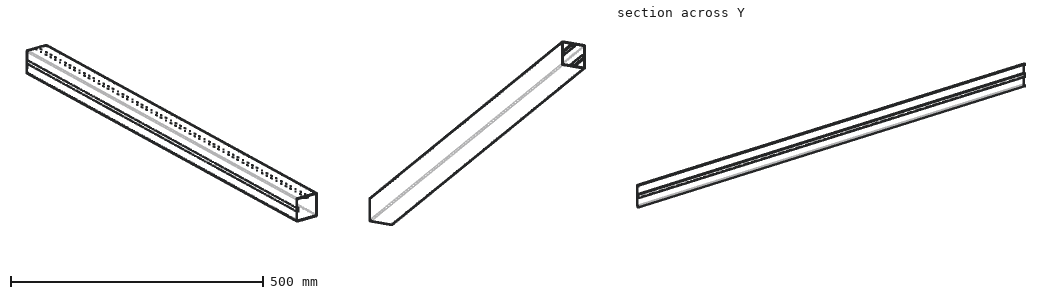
import cadquery as cq

length = 914.0
side = 50.0
wall = 2.0
corner_radius = 3.2
inner_radius = corner_radius - wall
rib_width = 7.8
rib_height = 3.0

inner_side = side - 2 * wall


def rounded_bar(size, radius):
    """Solid square bar centred on the X axis, with rounded long edges."""
    return cq.Workplane("XY").box(length, size, size).edges("|X").fillet(radius)


tube = rounded_bar(side, corner_radius).cut(rounded_bar(inner_side, inner_radius))

rib_overlap = wall / 2
rib_depth = rib_height + rib_overlap
rib_centre = inner_side / 2 + rib_overlap - rib_depth / 2

top_rib = cq.Workplane("XY").box(length, rib_width, rib_depth).translate((0, 0, rib_centre))
front_rib = cq.Workplane("XY").box(length, rib_depth, rib_width).translate((0, -rib_centre, 0))

result = tube.union(top_rib).union(front_rib)